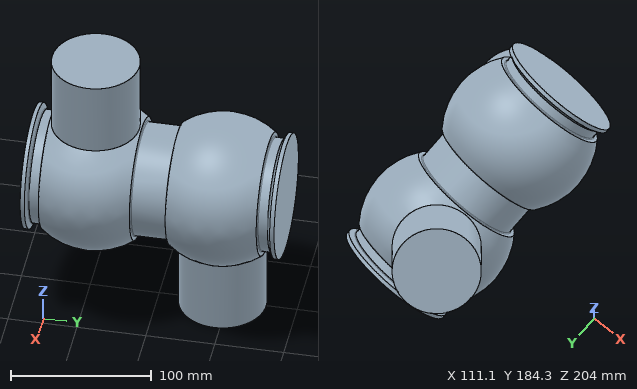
import cadquery as cq
import math

body_diameter = 111.1
overall_length = 184.3
overall_height = 203.96

body_length = 66.0
body_gap = 26.0
body_radius = body_diameter / 2
body_offset = (body_length + body_gap) / 2
body_face_radius = math.sqrt(body_radius**2 - (body_length / 2) ** 2)

pipe_radius = 82.0 / 2
flange_radius = 91.2 / 2
flange_rim = 3.2
flange_taper_angle = 24.0
neck_fillet = 0.7
flange_taper = (flange_radius - pipe_radius) * math.tan(math.radians(flange_taper_angle))

branch_radius = 63.5 / 2
branch_length = overall_height / 2


def make_run():
    """Pipe with flanges and ball bodies, revolved about Y, with filleted necks."""
    end = overall_length / 2
    rim_end = end - flange_rim
    taper_end = rim_end - flange_taper
    body_outer = body_offset + body_length / 2
    body_inner = body_offset - body_length / 2
    section = (
        cq.Workplane("XY")
        .moveTo(0, -end)
        .lineTo(flange_radius, -end)
        .lineTo(flange_radius, -rim_end)
        .lineTo(pipe_radius, -taper_end)
        .lineTo(pipe_radius, -body_outer)
        .lineTo(body_face_radius, -body_outer)
        .threePointArc((body_radius, -body_offset), (body_face_radius, -body_inner))
        .lineTo(pipe_radius, -body_inner)
        .lineTo(pipe_radius, body_inner)
        .lineTo(body_face_radius, body_inner)
        .threePointArc((body_radius, body_offset), (body_face_radius, body_outer))
        .lineTo(pipe_radius, body_outer)
        .lineTo(pipe_radius, taper_end)
        .lineTo(flange_radius, rim_end)
        .lineTo(flange_radius, end)
        .lineTo(0, end)
        .close()
    )
    run = section.revolve(360, (0, 0, 0), (0, 1, 0))
    necks = [edge for edge in run.edges("%CIRCLE").vals() if math.isclose(edge.radius(), pipe_radius)]
    return run.newObject(necks).fillet(neck_fillet)


def make_branch(y, direction):
    """Solid cylinder from the centre of the body at y, up (+1) or down (-1)."""
    return cq.Workplane("XY").center(0, y).circle(branch_radius).extrude(direction * branch_length)


result = make_run()
result = result.union(make_branch(-body_offset, 1))
result = result.union(make_branch(body_offset, -1))